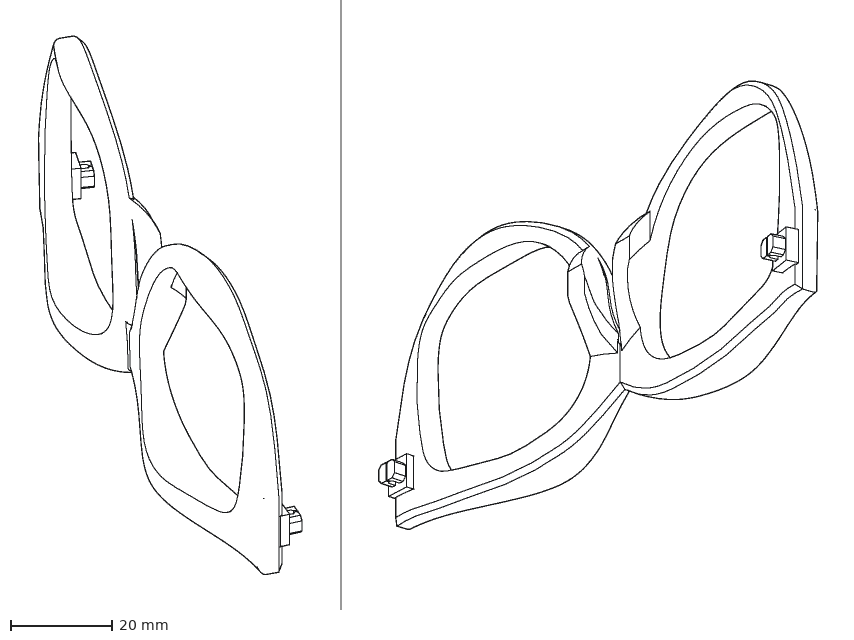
import cadquery as cq

HALF_WIDTH = 69.3
END_BOTTOM = 2.1
END_TOP = 20.1
BRIDGE_BOTTOM = 7.6
BRIDGE_TOP = 18.8
FRAME_HEIGHT = 57.2
TOP_X = -40.7
BACK_LIMIT = 27.7
MARGIN = 2.8

FRONT_ROUND = 1.4
BACK_BEVEL = 1.1
JOINT_BEVEL_WIDTH = 2.1
JOINT_BEVEL_DEPTH = 0.7
JOINT_Y = 5.8

TOP_CURVE = [
    (-67.2, 29.4), (-62.2, 42.7), (-55.5, 51.4), (-49.0, 55.5), (TOP_X, FRAME_HEIGHT),
    (-31.9, 55.5), (-22.5, 51.3), (-12.5, 44.5), (-7.3, 38.3), (-4.9, 32.7),
    (-3.7, 26.7), (-2.1, 22.3), (0, BRIDGE_TOP),
]
BOTTOM_CURVE = [
    (-6.8, 3.7), (-13.9, 1.1), (-22.5, 0.1), (-34.0, 0.3), (-45.9, 1.1), (-55.9, 2.0),
    (-HALF_WIDTH, END_BOTTOM),
]
OPENING_CURVE = [
    (-61.8, 34.5), (-61.8, 24.7), (-60.8, 17.3), (-59.5, 12.6), (-56.8, 9.8), (-53.2, 8.5),
    (-44.4, 7.0), (-36.0, 5.8), (-26.0, 5.8), (-16.2, 7.5), (-11.5, 10.7), (-9.1, 14.7),
    (-8.5, 18.0), (-8.6, 23.1), (-10.4, 29.8), (-14.5, 38.7), (-21.9, 46.0), (-30.2, 50.2),
    (-37.5, 51.3), (-44.9, 50.7), (-52.3, 48.9), (-57.4, 45.5), (-60.3, 41.9), (-61.4, 38.3),
]

BACK_CURVE = [
    (-HALF_WIDTH - MARGIN, 14.8), (-HALF_WIDTH, 14.7), (-63.8, 14.3), (-57.5, 12.9), (-50.7, 12.2),
    (-38.3, 10.8), (-26.3, 10.4), (-12.5, 10.1), (0, 8.6), (MARGIN, 8.0),
]

FRONT_X = [-HALF_WIDTH - MARGIN, -55.5, -41.6, -30.5, -20.8, -11.1, MARGIN]
FRONT_SECTIONS = [
    (-MARGIN, [10.0, 6.2, 2.2, 0.4, 1.5, 4.0, 5.4]),
    (6.2, [10.0, 6.2, 2.2, 0.4, 1.5, 4.0, 5.4]),
    (16.6, [9.7, 6.9, 4.2, 2.8, 3.0, 4.5, 5.4]),
    (27.7, [9.4, 7.8, 6.0, 5.1, 4.9, 5.0, 5.4]),
    (40.2, [9.3, 8.3, 6.4, 5.8, 6.0, 6.4, 6.8]),
    (49.9, [9.3, 8.0, 5.4, 5.4, 6.7, 7.2, 7.2]),
    (FRAME_HEIGHT + MARGIN, [9.3, 7.5, 2.8, 2.8, 6.4, 7.2, 7.2]),
]

PAD_Y = 13.9
PAD_ROOT_Y = 8.6
PAD_PLAN = [
    (-12.3, PAD_ROOT_Y), (-12.3, 10.1), (-10.5, PAD_Y), (-4.7, PAD_Y), (-3.0, 11.1), (-0.5, PAD_ROOT_Y),
]
PAD_SIDE = [
    (PAD_ROOT_Y, 15.2), (10.5, 18.7), (PAD_Y, 28.4), (PAD_Y, 35.3), (10.3, 40.9), (PAD_ROOT_Y, 42.3),
]

HINGE_Z = 11.2
PLATE_WIDTH = 5.8
PLATE_HEIGHT = 7.2
PLATE_DEPTH = 2.8
CLIP_WIDTH = 5.1
CLIP_HEIGHT = 4.0
CLIP_DEPTH = 2.8
CLIP_BEVEL = 0.8
PIN_HOLE_WIDTH = 1.4
PIN_HOLE_DEPTH = 2.1
CLIP_SLIT = 0.4
LEFT_HINGE = {"x": -66.3, "y": 14.0, "tilt": -8.0}
RIGHT_HINGE = {"x": 65.8, "y": 13.2, "tilt": 3.0}


def rim_outline():
    """Outer shape of the left half, with a straight end and a straight joint."""
    return (
        cq.Workplane("XZ", origin=(0, -MARGIN, 0)).moveTo(-HALF_WIDTH, END_BOTTOM)
        .lineTo(-HALF_WIDTH, END_TOP)
        .spline(TOP_CURVE, includeCurrent=True)
        .lineTo(0, BRIDGE_BOTTOM)
        .spline(BOTTOM_CURVE, includeCurrent=True)
        .close()
        .extrude(-BACK_LIMIT - MARGIN)
    )


def lens_opening():
    return (
        cq.Workplane("XZ", origin=(0, -MARGIN, 0))
        .spline(OPENING_CURVE, periodic=True).close()
        .extrude(-BACK_LIMIT - MARGIN)
    )


def curved_blank():
    """Slab between the free-form front and the extruded back curve."""
    sections = []
    for z, depths in FRONT_SECTIONS:
        front = list(zip(FRONT_X, depths))
        section = (
            cq.Workplane("XY", origin=(0, 0, z))
            .spline(front)
            .lineTo(MARGIN, BACK_LIMIT)
            .lineTo(-HALF_WIDTH - MARGIN, BACK_LIMIT)
            .close()
        )
        sections.append(section.val())
    front_body = cq.Workplane(cq.Solid.makeLoft(sections))
    back_body = (
        cq.Workplane("XY", origin=(0, 0, -MARGIN))
        .spline(BACK_CURVE)
        .lineTo(MARGIN, -MARGIN)
        .lineTo(-HALF_WIDTH - MARGIN, -MARGIN)
        .close()
        .extrude(FRAME_HEIGHT + 2 * MARGIN)
    )
    return front_body.intersect(back_body)


def nose_pad():
    """Swelling behind the nose side of the rim."""
    plan = cq.Workplane("XY").polyline(PAD_PLAN).close().extrude(FRAME_HEIGHT)
    side = (
        cq.Workplane("YZ").moveTo(*PAD_SIDE[0])
        .spline(PAD_SIDE[1:], includeCurrent=True).close()
        .extrude(-HALF_WIDTH)
    )
    return plan.intersect(side).intersect(rim_outline())


def broad_face(body, direction):
    """The large face that looks along Y: 1 picks the back, -1 the front."""
    def area_seen(face):
        return direction * face.normalAt().y * face.Area()
    return body.newObject([max(body.faces().vals(), key=area_seen)])


def half_plate():
    """Left half before its pad and opening, with softened outer edges."""
    plate = curved_blank().intersect(rim_outline())
    plate = broad_face(plate, -1).edges("not >X").fillet(FRONT_ROUND)
    return broad_face(plate, 1).edges("not >X").chamfer(BACK_BEVEL)


def joint_bevel():
    """Wedge that bevels the front of the left half along the joint."""
    return (
        cq.Workplane("XY")
        .moveTo(-JOINT_BEVEL_WIDTH, 0)
        .lineTo(-JOINT_BEVEL_WIDTH, JOINT_Y - JOINT_BEVEL_DEPTH)
        .lineTo(0, JOINT_Y + JOINT_BEVEL_DEPTH)
        .lineTo(0, 0)
        .close()
        .extrude(BRIDGE_TOP)
    )


def hinge_place(body, place):
    """Turn a hinge built at the origin and move it to its end of the frame."""
    return (
        body.rotate((0, 0, 0), (0, 0, 1), place["tilt"])
        .translate((place["x"], place["y"], HINGE_Z))
    )


def hinge_plate():
    return cq.Workplane("XY").box(PLATE_WIDTH, PLATE_DEPTH, PLATE_HEIGHT, centered=(True, False, True))


def hinge(place):
    """Mounting plate with a bevelled clip; the clip's pin hole runs along Z."""
    clip = (
        cq.Workplane("XY", origin=(0, PLATE_DEPTH, 0))
        .box(CLIP_WIDTH, CLIP_DEPTH, CLIP_HEIGHT, centered=(True, False, True))
        .edges("|Y").chamfer(CLIP_BEVEL)
    )
    half_hole = PIN_HOLE_WIDTH / 2
    pin_hole = (
        cq.Workplane("XY", origin=(0, PLATE_DEPTH, -CLIP_HEIGHT / 2))
        .moveTo(-half_hole, 0)
        .lineTo(half_hole, 0)
        .lineTo(half_hole, PIN_HOLE_DEPTH - half_hole)
        .threePointArc((0, PIN_HOLE_DEPTH), (-half_hole, PIN_HOLE_DEPTH - half_hole))
        .close()
        .extrude(CLIP_HEIGHT)
    )
    slit = (
        cq.Workplane("XY", origin=(0, PLATE_DEPTH, 0))
        .box(CLIP_SLIT, CLIP_DEPTH, CLIP_HEIGHT, centered=(True, False, True))
    )
    return hinge_place(hinge_plate().union(clip.cut(pin_hole).cut(slit)), place)


def hinge_recess(place):
    return hinge_place(hinge_plate(), place)


plain_half = half_plate().union(nose_pad()).cut(lens_opening())
left_frame = plain_half.cut(joint_bevel()).cut(hinge_recess(LEFT_HINGE))
right_frame = plain_half.mirror("YZ").cut(hinge_recess(RIGHT_HINGE))
left_hinge, right_hinge = [hinge(place) for place in (LEFT_HINGE, RIGHT_HINGE)]

result = cq.Compound.makeCompound([
    left_frame.val(),
    right_frame.val(),
    left_hinge.val(),
    right_hinge.val(),
])